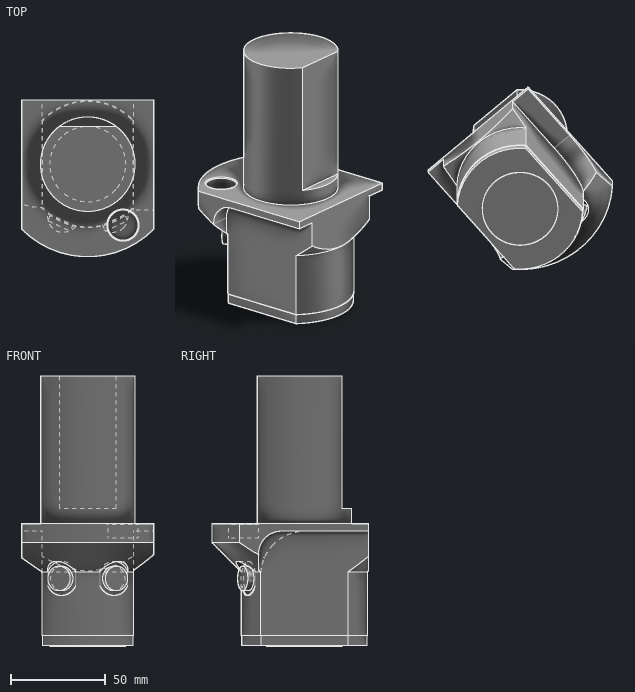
import cadquery as cq
import math


shank_radius = 25.0
shank_height = 78.0
shank_flat_y = 20.0
shank_flat_start_z = 8.0

flange_width = 70.0
flange_radius = 49.0
flange_back_y = 34.0
flange_thickness = 10.0

head_radius = 33.5
head_half_width = 24.25
head_bottom_z = -59.25
cone_height = flange_radius - head_radius
cone_bottom_z = -flange_thickness - cone_height

cap_step = 0.3
cap_bottom_z = -64.5
end_disc_radius = 20.0
end_disc_height = 0.5

relief_top_z = -4.0
left_relief_corner_radius = 23.5
left_relief_front_y = -math.sqrt(head_radius**2 - head_half_width**2)

right_relief_corner_radius = 12.0
right_relief_extra_reach = 1.1
right_relief_front_y = left_relief_front_y - right_relief_extra_reach

hole_diameter = 16.0
hole_depth = 7.5
hole_chamfer = 0.5
hole_pitch_radius = 37.2
hole_angle = -60.0

plug_angles = (-115.0, -65.0)
plug_z = -29.0
plug_diameter = 13.0
plug_face_distance = 36.0
spotface_diameter = 18.0
spotface_distance = 32.5

clearance = 10.0


def make_shank():
    shank = cq.Workplane("XY").circle(shank_radius).extrude(shank_height)
    flat_cutter = cq.Workplane("XY").box(
        2 * shank_radius,
        shank_radius,
        shank_height,
        centered=(True, False, False),
    )
    return shank.cut(flat_cutter.translate((0, shank_flat_y, shank_flat_start_z)))


def make_flange_and_head():
    """Revolved flange, cone and head, trimmed to the flange's straight sides and back."""
    body = (
        cq.Workplane("XZ")
        .moveTo(0, 0)
        .lineTo(flange_radius, 0)
        .lineTo(flange_radius, -flange_thickness)
        .lineTo(head_radius, cone_bottom_z)
        .lineTo(head_radius, head_bottom_z)
        .lineTo(0, head_bottom_z)
        .close()
        .revolve(360, (0, 0), (0, 1))
    )
    trim_length = flange_back_y + flange_radius
    trim = (
        cq.Workplane("XY")
        .center(0, flange_back_y - trim_length / 2)
        .rect(flange_width, trim_length)
        .extrude(head_bottom_z)
    )
    return body.intersect(trim)


def make_side_relief(side, front_y, corner_radius):
    """Cutter outside one flat head side, with a rounded upper front corner."""
    back_y = flange_back_y + clearance
    bottom_z = head_bottom_z - clearance
    depth = flange_width / 2 - head_half_width + clearance
    corner_y = front_y + corner_radius
    corner_z = relief_top_z - corner_radius
    arc_offset = corner_radius * math.sqrt(0.5)
    return (
        cq.Workplane("YZ")
        .workplane(offset=side * head_half_width)
        .moveTo(front_y, bottom_z)
        .lineTo(front_y, corner_z)
        .threePointArc(
            (corner_y - arc_offset, corner_z + arc_offset),
            (corner_y, relief_top_z),
        )
        .lineTo(back_y, relief_top_z)
        .lineTo(back_y, bottom_z)
        .close()
        .extrude(side * depth)
    )


def make_end_cap():
    cap_radius = head_radius - cap_step
    cap_width = 2 * (head_half_width - cap_step)
    cap_height = head_bottom_z - cap_bottom_z
    cap_plane = cq.Workplane("XY").workplane(offset=head_bottom_z)
    cap = cap_plane.circle(cap_radius).extrude(-cap_height)
    cap = cap.intersect(cap_plane.rect(cap_width, 2 * cap_radius).extrude(-cap_height))
    end_disc = (
        cq.Workplane("XY")
        .workplane(offset=cap_bottom_z)
        .circle(end_disc_radius)
        .extrude(-end_disc_height)
    )
    return cap.union(end_disc)


def make_locating_hole():
    hole_radius = hole_diameter / 2
    drill = cq.Workplane("XY").circle(hole_radius).extrude(-hole_depth)
    chamfer = cq.Workplane("XY").add(
        cq.Solid.makeCone(hole_radius, hole_radius + hole_chamfer, hole_chamfer)
    )
    angle = math.radians(hole_angle)
    hole_x = hole_pitch_radius * math.cos(angle)
    hole_y = hole_pitch_radius * math.sin(angle)
    cutter = drill.union(chamfer.translate((0, 0, -hole_chamfer)))
    return cutter.translate((hole_x, hole_y, 0))


def radial_cylinder(diameter, start, end, angle):
    """Cylinder pointing outwards from the Z axis at the plug height."""
    return (
        cq.Workplane("YZ")
        .workplane(offset=start)
        .center(0, plug_z)
        .circle(diameter / 2)
        .extrude(end - start)
        .rotate((0, 0, 0), (0, 0, 1), angle)
    )


def add_plug(body, angle):
    spotface = radial_cylinder(
        spotface_diameter, spotface_distance, flange_radius + clearance, angle
    )
    plug_start = spotface_distance - clearance
    plug = radial_cylinder(plug_diameter, plug_start, plug_face_distance, angle)
    return body.cut(spotface).union(plug)


result = make_flange_and_head()
result = result.cut(make_side_relief(-1, left_relief_front_y, left_relief_corner_radius))
result = result.cut(make_side_relief(1, right_relief_front_y, right_relief_corner_radius))
result = result.union(make_end_cap()).union(make_shank())
result = result.cut(make_locating_hole())
for plug_angle in plug_angles:
    result = add_plug(result, plug_angle)